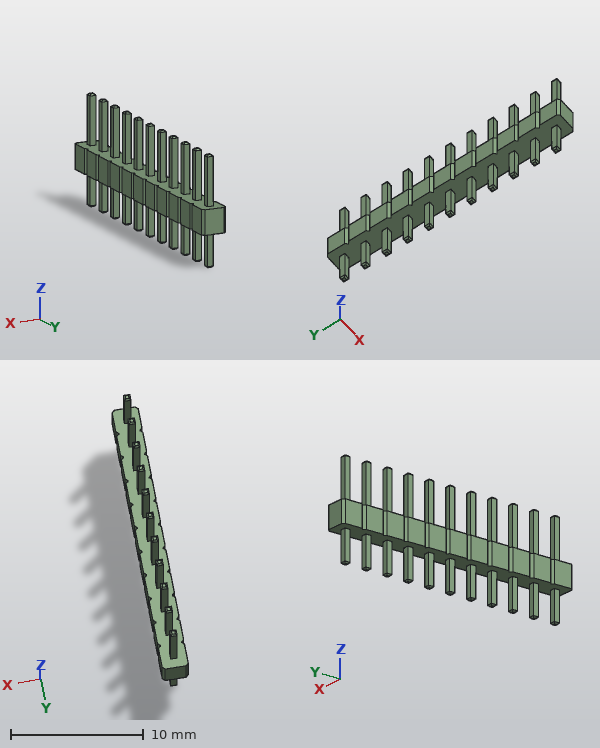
import cadquery as cq

pin_count = 11
row_length = 22.0
pin_length = 8.8

pitch = row_length / pin_count
body_width = pitch
body_height = pitch
corner_cut = pitch / 10

pin_width = pitch / 4
tip_chamfer = pin_width / 4
pin_above_body = 2 * pitch
pin_below_body = pin_length - body_height - pin_above_body

first_pin_y = -(row_length - pitch) / 2
pin_positions = [(0, first_pin_y + i * pitch) for i in range(pin_count)]


def make_housing():
    """Row of square cells with chamfered vertical corners, standing on Z = 0."""
    cell = (
        cq.Workplane("XY")
        .box(body_width, pitch, body_height, centered=(True, True, False))
        .edges("|Z")
        .chamfer(corner_cut)
    )
    housing = cq.Workplane("XY")
    for x, y in pin_positions:
        housing = housing.union(cell.translate((x, y, 0)))
    return housing.clean()


def make_pins():
    """Square pins with both tips chamfered, passing through the housing."""
    return (
        cq.Workplane("XY")
        .workplane(offset=-pin_below_body)
        .pushPoints(pin_positions)
        .rect(pin_width, pin_width)
        .extrude(pin_length)
        .faces("<Z or >Z")
        .edges()
        .chamfer(tip_chamfer)
    )


result = make_housing().union(make_pins())